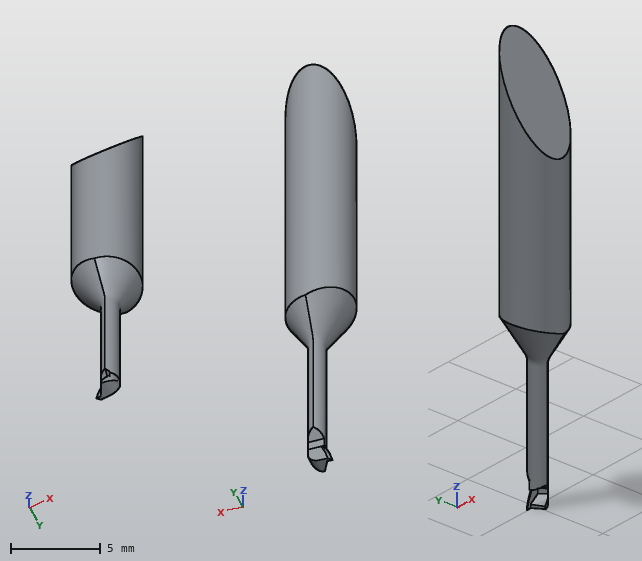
import cadquery as cq
import math

shank_radius = 2.005
total_height = 29.72
slope_angle = math.radians(30)

neck_radius = 0.75
neck_offset = 0.45
cone_base_z = 9.35
neck_fillet = 1.0

head_top_z = 1.1
flank_knee = (-0.53, 0.55)
cutting_tip = (-0.68, 0.0)
bottom_end = (0.18, 0.05)
nose_middle = (0.53, 0.27)
nose_top_z = 0.75

flank_clearance_angle = 45.0

cut_bottom_z = -0.3
relief_y = 0.2
relief_wall_top_z = 1.65
relief_top_z = 2.3

pocket_depth = 0.83
pocket_left = -1.2
floor_pinch = (-0.4, 0.27)
mouth_pinch = (0.03, 0.25)
mouth_bottom_x = 0.15
floor_corner_x = 0.12
floor_corner_z = 1.0
floor_right = 0.25
floor_knee_z = 0.68
mouth_corner_x = 0.27
mouth_right = 0.55
mouth_knee_z = 0.85
mouth_shoulder_z = 1.28
mouth_top_z = 1.55


def turned_envelope(axis_x, outer_radius):
    """Neck, fillet and cone revolved about the vertical line at axis_x."""
    cone_height = (outer_radius - neck_radius) / math.tan(slope_angle)
    tangent = neck_fillet * math.tan(slope_angle / 2)
    half_angle = slope_angle / 2
    fillet_center_x = neck_radius + neck_fillet
    fillet_start_z = cone_base_z - tangent
    fillet_middle = (
        fillet_center_x - neck_fillet * math.cos(half_angle),
        fillet_start_z + neck_fillet * math.sin(half_angle),
    )
    fillet_end = (
        neck_radius + tangent * math.sin(slope_angle),
        cone_base_z + tangent * math.cos(slope_angle),
    )
    return (
        cq.Workplane("XZ")
        .lineTo(neck_radius, 0)
        .lineTo(neck_radius, fillet_start_z)
        .threePointArc(fillet_middle, fillet_end)
        .lineTo(outer_radius, cone_base_z + cone_height)
        .lineTo(outer_radius, total_height)
        .lineTo(0, total_height)
        .close()
        .revolve(360, (0, 0, 0), (0, 1, 0))
        .translate((axis_x, 0, 0))
    )


def prism_along_x(points):
    """A block with a YZ outline, wider in X than the shank."""
    return cq.Workplane("YZ").polyline(points).close().extrude(2 * shank_radius, both=True)


def end_cut():
    drop = 2 * shank_radius / math.tan(slope_angle)
    return prism_along_x([
        (shank_radius, total_height),
        (-shank_radius, total_height - drop),
        (-shank_radius, total_height),
    ])


def back_relief():
    return prism_along_x([
        (relief_y, cut_bottom_z),
        (relief_y, relief_wall_top_z),
        (neck_radius, relief_top_z),
        (neck_radius, cut_bottom_z),
    ])


def chip_pocket():
    """A hollow widening from the rake face to its mouth at the front."""
    floor = [
        (pocket_left, head_top_z),
        (floor_corner_x, head_top_z),
        (floor_right, floor_corner_z),
        (floor_right, floor_knee_z),
        floor_pinch,
        (floor_pinch[0], cut_bottom_z),
        (pocket_left, cut_bottom_z),
    ]
    mouth = [
        (pocket_left, mouth_top_z),
        (mouth_corner_x, mouth_top_z),
        (mouth_right, mouth_shoulder_z),
        (mouth_right, mouth_knee_z),
        mouth_pinch,
        (mouth_bottom_x, cut_bottom_z),
        (pocket_left, cut_bottom_z),
    ]
    return (
        cq.Workplane("XZ")
        .polyline(floor)
        .close()
        .workplane(offset=pocket_depth)
        .polyline(mouth)
        .close()
        .loft(ruled=True)
    )


def head_outline():
    """The head's XZ outline, extruded through its whole thickness."""
    return (
        cq.Workplane("XZ")
        .moveTo(neck_offset - neck_radius, head_top_z)
        .lineTo(*flank_knee)
        .lineTo(*cutting_tip)
        .lineTo(*bottom_end)
        .threePointArc(nose_middle, (neck_radius, nose_top_z))
        .lineTo(neck_radius, head_top_z)
        .close()
        .extrude(2 * neck_radius, both=True)
    )


def flank_clearance():
    """Material beside the cutting edge, leaning inward behind the rake face."""
    edge_slope_x = neck_offset - neck_radius - flank_knee[0]
    edge_slope_z = head_top_z - flank_knee[1]
    clearance = relief_y * math.tan(math.radians(flank_clearance_angle))
    edge_points = [
        (neck_offset - neck_radius + edge_slope_x, head_top_z + edge_slope_z),
        flank_knee,
        cutting_tip,
        (cutting_tip[0], cut_bottom_z),
        (pocket_left, cut_bottom_z),
        (pocket_left, head_top_z + edge_slope_z),
    ]
    back_points = [(x + clearance, z) for x, z in edge_points]
    return (
        cq.Workplane("XZ")
        .polyline(edge_points)
        .close()
        .workplane(offset=-relief_y)
        .polyline(back_points)
        .close()
        .loft(ruled=True)
    )


def make_holder():
    centered = turned_envelope(0, shank_radius)
    shifted = turned_envelope(neck_offset, shank_radius + 2 * neck_offset)
    below_holder = cq.Workplane("XY").circle(2 * shank_radius).extrude(head_top_z)
    holder = centered.intersect(shifted).cut(below_holder)
    return holder.cut(end_cut()).cut(back_relief()).cut(chip_pocket())


def make_cutting_head():
    head = cq.Workplane("XY").circle(neck_radius).extrude(head_top_z).intersect(head_outline())
    return head.cut(back_relief()).cut(flank_clearance()).cut(chip_pocket())


holder = make_holder()
cutting_head = make_cutting_head()
result = cq.Compound.makeCompound([holder.solids().val(), cutting_head.solids().val()])